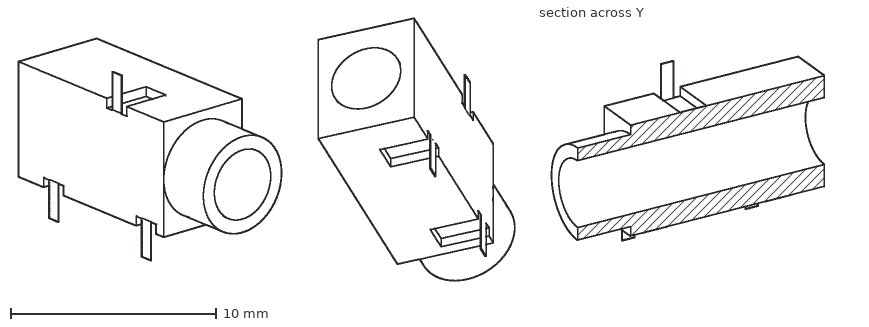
import cadquery as cq

total_length = 14.0
body_length = 11.0
body_width = 5.0
body_height = 6.0
collar_diameter = body_width
bore_diameter = 3.6

pin_width = 0.7
pin_thickness = 0.05
pin_projection = 1.5
pocket_width = 1.5
pocket_height = 0.5
pocket_depth = body_width / 2
top_pin_x = 7.45
bottom_pin_xs = (2.66, 9.66)

front_y = -body_width / 2


def block(center_x, width, depth, z_low, height):
    """Box centred on center_x, running back from the front face."""
    return (
        cq.Workplane("XY")
        .box(width, depth, height, centered=(True, False, False))
        .translate((center_x, front_y, z_low))
    )


def fit_pin(part, center_x, side):
    """Cut a pocket in the top (side=1) or bottom (side=-1) and stand a pin on its floor."""
    outer_z = side * body_height / 2
    floor_z = outer_z - side * pocket_height
    tip_z = outer_z + side * pin_projection
    pocket = block(center_x, pocket_width, pocket_depth, min(floor_z, outer_z), pocket_height)
    pin = block(center_x, pin_width, pin_thickness, min(floor_z, tip_z), pocket_height + pin_projection)
    return part.cut(pocket).union(pin)


housing = cq.Workplane("XY").box(body_length, body_width, body_height, centered=(False, True, True))
collar = (
    cq.Workplane("YZ", origin=(body_length, 0, 0))
    .circle(collar_diameter / 2)
    .extrude(total_length - body_length)
)

bore = cq.Workplane("YZ").circle(bore_diameter / 2).extrude(total_length)
result = housing.union(collar).cut(bore)

result = fit_pin(result, top_pin_x, 1)
for pin_x in bottom_pin_xs:
    result = fit_pin(result, pin_x, -1)